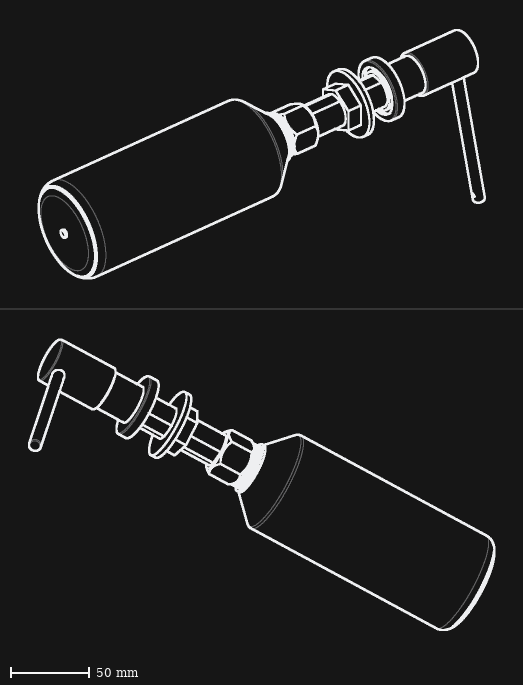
import cadquery as cq
import math

overall_length = 331.8

bottle_diameter = 67.5
bottle_radius = bottle_diameter / 2
nub_radius = 2.5
nub_height = 1.3
base_fillet = 8.0
rim_groove_radius = 30.5
rim_groove_y = 3.0
rim_groove_width = 0.83
bottle_shoulder_y = 148.5
shoulder_fillet = 2.3
cone_top_y = 166.0
cone_top_radius = 17.0
neck_lip_y = 167.5
collar_start_y = 172.0
neck_radius = 15.0
neck_groove_count = 2
neck_groove_width = (collar_start_y - neck_lip_y) / (2 * neck_groove_count + 1)
neck_groove_depth = 0.5

hex_across_flats = 27.5
hex_across_corners = hex_across_flats / math.cos(math.pi / 6)
collar_end_y = 191.8
collar_face_radius = 13.3
nut_start_y = 215.0
nut_end_y = 225.0

shank_radius = 11.0
shank_flat_half_height = 10.0
shank_depth_in_collar = 10.0
shank_start_y = collar_end_y - shank_depth_in_collar

washer_radius = 23.0
washer_thickness = 3.5
flange_radius = 21.0
flange_start_y = 248.0
flange_end_y = 254.5
flange_fillet = 0.5
flange_groove_outer_radius = 16.3
flange_groove_inner_radius = 13.3
flange_groove_depth = 2.0

sleeve_radius = 13.0
head_radius = 15.0
head_start_y = 276.5
head_end_y = 317.0
head_fillet = 0.5

spout_radius = 4.0
spout_tilt = 9
spout_length = 127.0
spout_fillet = 0.5
spout_reach = (
    (spout_length - spout_fillet) * math.sin(math.radians(spout_tilt))
    + (spout_radius - spout_fillet) * math.cos(math.radians(spout_tilt))
    + spout_fillet
)
spout_root_y = overall_length - spout_reach
outlet_radius = 1.3
outlet_distance_from_tip = 6.0


def plane_at(y):
    """Plane normal to the Y axis whose extrusions run toward +Y, with local Y along -Z."""
    return cq.Workplane(cq.Plane(origin=(0, y, 0), xDir=(1, 0, 0), normal=(0, 1, 0)))


def cylinder(radius, start_y, end_y):
    return plane_at(start_y).circle(radius).extrude(end_y - start_y)


def make_ring(outer_radius, inner_radius, start_y, width):
    return plane_at(start_y).circle(outer_radius).circle(inner_radius).extrude(width)


def hexagon(start_y, end_y):
    """Hexagonal prism with corners toward +Z and -Z."""
    return (
        plane_at(start_y)
        .transformed(rotate=(0, 0, 90))
        .polygon(6, hex_across_corners)
        .extrude(end_y - start_y)
    )


def make_bottle():
    """Bottle with a conical shoulder, a grooved neck, a groove near the base and a nub under it."""
    base = plane_at(nub_height).circle(bottle_radius).extrude(bottle_shoulder_y - nub_height)
    cone = (
        cq.Workplane("XY")
        .moveTo(0, bottle_shoulder_y)
        .lineTo(bottle_radius, bottle_shoulder_y)
        .lineTo(cone_top_radius, cone_top_y)
        .lineTo(0, cone_top_y)
        .close()
        .revolve(360, (0, 0, 0), (0, 1, 0))
    )
    shell = base.union(cone)
    shell = shell.faces("%CONE").edges("<Y").fillet(shoulder_fillet)
    shell = shell.faces("<Y").edges().fillet(base_fillet)
    lip = cylinder(cone_top_radius, cone_top_y, neck_lip_y)
    neck = cylinder(neck_radius, neck_lip_y, collar_start_y)
    bottle = shell.union(lip).union(neck).union(cylinder(nub_radius, 0, nub_height))
    for index in range(neck_groove_count):
        groove_y = neck_lip_y + (2 * index + 1) * neck_groove_width
        bottle = bottle.cut(
            make_ring(cone_top_radius, neck_radius - neck_groove_depth, groove_y, neck_groove_width)
        )
    rim_groove = make_ring(bottle_radius, rim_groove_radius, rim_groove_y, rim_groove_width)
    return bottle.cut(rim_groove)


def make_shank():
    """Round shank trimmed by a slab that leaves a flat on +Z and on -Z."""
    slab = cq.Workplane("XY").box(2 * shank_radius, 2 * flange_end_y, 2 * shank_flat_half_height)
    return cylinder(shank_radius, shank_start_y, flange_end_y).intersect(slab)


def make_collar(shank):
    """Hexagonal collar with 45 degree chamfered corners and a socket for the shank."""
    corner_radius = hex_across_corners / 2
    chamfer = corner_radius - collar_face_radius
    envelope = (
        cq.Workplane("XY")
        .moveTo(0, collar_start_y)
        .lineTo(collar_face_radius, collar_start_y)
        .lineTo(corner_radius, collar_start_y + chamfer)
        .lineTo(corner_radius, collar_end_y - chamfer)
        .lineTo(collar_face_radius, collar_end_y)
        .lineTo(0, collar_end_y)
        .close()
        .revolve(360, (0, 0, 0), (0, 1, 0))
    )
    return hexagon(collar_start_y, collar_end_y).intersect(envelope).cut(shank)


def make_nut():
    return hexagon(nut_start_y, nut_end_y).cut(cylinder(shank_radius, nut_start_y, nut_end_y))


def make_washer():
    end_y = nut_end_y + washer_thickness
    return cylinder(washer_radius, nut_end_y, end_y).cut(cylinder(shank_radius, nut_end_y, end_y))


def make_flange(shank):
    disc = cylinder(flange_radius, flange_start_y, flange_end_y).edges().fillet(flange_fillet)
    groove = make_ring(
        flange_groove_outer_radius, flange_groove_inner_radius, flange_start_y, flange_groove_depth
    )
    return disc.cut(groove).cut(shank)


def make_sleeve():
    return cylinder(sleeve_radius, flange_end_y, head_start_y)


def make_head():
    """Pump head with its tilted spout and the outlet near the spout tip."""
    barrel = cylinder(head_radius, head_start_y, head_end_y).edges().fillet(head_fillet)
    spout = (
        cq.Workplane("XY")
        .circle(spout_radius)
        .extrude(-spout_length)
        .faces("<Z")
        .edges()
        .fillet(spout_fillet)
    )
    outlet = (
        cq.Workplane("XZ", origin=(0, 0, outlet_distance_from_tip - spout_length))
        .circle(outlet_radius)
        .extrude(spout_radius)
    )
    spout = spout.cut(outlet).rotate((0, 0, 0), (1, 0, 0), spout_tilt).translate((0, spout_root_y, 0))
    return barrel.union(spout)


bottle = make_bottle()
shank = make_shank()
collar = make_collar(shank)
nut = make_nut()
washer = make_washer()
flange = make_flange(shank)
sleeve = make_sleeve()
head = make_head()

result = cq.Compound.makeCompound(
    [body.val() for body in (bottle, shank, collar, nut, washer, flange, sleeve, head)]
)